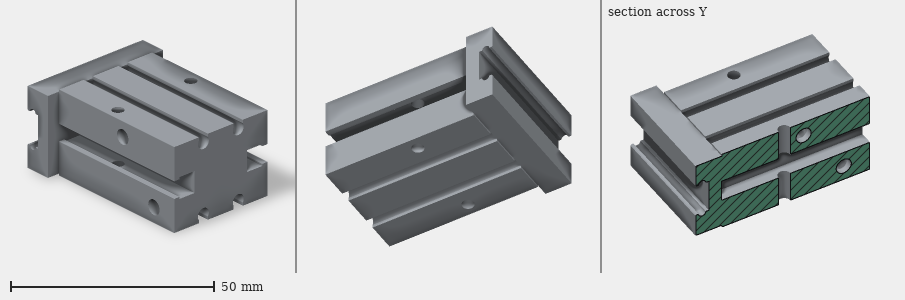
import cadquery as cq
import math

total_length = 50.0
body_width = 30.7
body_height = 23.6

plate_thickness = 7.5
plate_width = 38.0
plate_height = 22.5

plate_slot_depth = 3.8
plate_slot_height = 9.2
plate_slot_chamfer = 0.25
plate_groove_radius = 1.0

keyhole_spacing = 11.5
keyhole_neck_width = 3.0
keyhole_neck_depth = 0.9
keyhole_radius = 1.8

side_slot_opening = 4.85
side_slot_lip = 1.7
side_slot_inner_height = 6.0

mounting_hole_diameter = 3.3
mounting_hole_x = 25.5
mounting_hole_spacing = 24.0

port_diameter = 4.2
port_depth = 5.0
port_point_angle = 118.0
port_height = 7.5
port_positions = [(31.0, port_height), (42.5, -port_height)]

side_slot_depth = body_width - mounting_hole_spacing
body_length = total_length - plate_thickness


def bar_along_x(width, height, y, z):
    """Rectangular bar over the length of the body, centred on (y, z)."""
    bar = cq.Workplane("XY").box(body_length, width, height)
    return bar.translate((plate_thickness + body_length / 2, y, z))


def make_plate():
    """End plate with its grooved slot across the front."""
    plate = cq.Workplane("XY").box(plate_thickness, plate_width, plate_height)
    plate = plate.translate((plate_thickness / 2, 0, 0))

    plate_section = cq.Workplane("XZ", origin=(0, plate_width / 2, 0))
    half_slot = plate_slot_height / 2
    half_mouth = half_slot + plate_slot_chamfer
    slot = (
        plate_section
        .moveTo(0, half_mouth)
        .lineTo(plate_slot_chamfer, half_slot)
        .lineTo(plate_slot_depth, half_slot)
        .lineTo(plate_slot_depth, -half_slot)
        .lineTo(plate_slot_chamfer, -half_slot)
        .lineTo(0, -half_mouth)
        .close()
        .extrude(plate_width)
    )
    grooves = (
        plate_section
        .pushPoints([(plate_slot_depth / 2, side * half_slot) for side in (1, -1)])
        .circle(plate_groove_radius)
        .extrude(plate_width)
    )
    return plate.cut(slot).cut(grooves)


def keyhole_groove(y, side):
    """Narrow neck opening into a round channel; side is 1 for the top face, -1 for the bottom."""
    neck_z = side * (body_height - keyhole_neck_depth) / 2
    neck = bar_along_x(keyhole_neck_width, keyhole_neck_depth, y, neck_z)

    half_neck = keyhole_neck_width / 2
    centre_drop = keyhole_neck_depth + math.sqrt(keyhole_radius**2 - half_neck**2)
    channel = (
        cq.Workplane("YZ", origin=(plate_thickness, 0, 0))
        .center(y, side * (body_height / 2 - centre_drop))
        .circle(keyhole_radius)
        .extrude(body_length)
    )
    return neck.union(channel)


def side_slot(side):
    """T-slot in one side of the body; side is 1 for +Y, -1 for -Y."""
    opening_y = side * (body_width - side_slot_depth) / 2
    opening = bar_along_x(side_slot_depth, side_slot_opening, opening_y, 0)

    inner_depth = side_slot_depth - side_slot_lip
    inner_y = side * (body_width / 2 - side_slot_lip - inner_depth / 2)
    inner = bar_along_x(inner_depth, side_slot_inner_height, inner_y, 0)
    return opening.union(inner)


def port(x, z):
    """Blind hole from the -Y side with a conical drill point."""
    radius = port_diameter / 2
    point_length = radius / math.tan(math.radians(port_point_angle / 2))
    profile = (
        cq.Workplane("XY")
        .lineTo(radius, 0)
        .lineTo(radius, port_depth)
        .lineTo(0, port_depth + point_length)
        .close()
    )
    drill = profile.revolve(360, (0, 0, 0), (0, 1, 0))
    return drill.translate((x, -body_width / 2, z))


def mounting_holes():
    """Pair of holes through the full height of the body."""
    half_spacing = mounting_hole_spacing / 2
    return (
        cq.Workplane("XY", origin=(0, 0, -body_height / 2))
        .pushPoints([(mounting_hole_x, side * half_spacing) for side in (1, -1)])
        .circle(mounting_hole_diameter / 2)
        .extrude(body_height)
    )


def make_body():
    """Grooved body behind the plate, with all its holes."""
    body = bar_along_x(body_width, body_height, 0, 0)
    for y in (keyhole_spacing / 2, -keyhole_spacing / 2):
        for side in (1, -1):
            body = body.cut(keyhole_groove(y, side))
    for side in (1, -1):
        body = body.cut(side_slot(side))
    for x, z in port_positions:
        body = body.cut(port(x, z))
    return body.cut(mounting_holes())


result = make_plate().union(make_body())